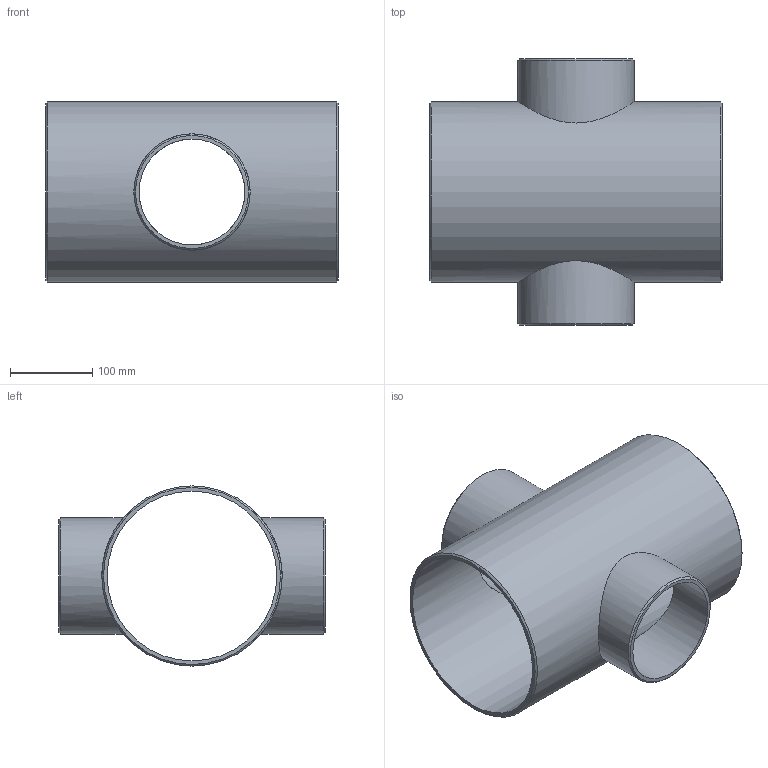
import cadquery as cq

run_length = 355.6
run_diameter = 219.075
run_wall = 6.35

branch_span = 324.1
branch_diameter = 141.3
branch_wall = 6.35

bevel = 2.0

run_plane = "XZ"
branch_plane = "YZ"


def revolve_about_pipe_axis(profile):
    """Revolve a half profile a full turn about the local x axis of its plane."""
    return profile.close().revolve(360, (0, 0, 0), (1, 0, 0))


def pipe_body(plane, length, diameter):
    """Solid cylinder centred on the origin, with both outer end rims bevelled."""
    half_length = length / 2
    radius = diameter / 2
    profile = (
        cq.Workplane(plane)
        .moveTo(-half_length, 0)
        .lineTo(-half_length, radius - bevel)
        .lineTo(-half_length + bevel, radius)
        .lineTo(half_length - bevel, radius)
        .lineTo(half_length, radius - bevel)
        .lineTo(half_length, 0)
    )
    return revolve_about_pipe_axis(profile)


def pipe_bore(plane, length, diameter, wall):
    """Cylinder filling the inside of a pipe from end to end."""
    half_length = length / 2
    radius = diameter / 2 - wall
    profile = (
        cq.Workplane(plane)
        .moveTo(-half_length, 0)
        .lineTo(-half_length, radius)
        .lineTo(half_length, radius)
        .lineTo(half_length, 0)
    )
    return revolve_about_pipe_axis(profile)


run_body = pipe_body(run_plane, run_length, run_diameter)
branch_body = pipe_body(branch_plane, branch_span, branch_diameter)
run_bore = pipe_bore(run_plane, run_length, run_diameter, run_wall)
branch_bore = pipe_bore(branch_plane, branch_span, branch_diameter, branch_wall)

result = run_body.union(branch_body).cut(run_bore).cut(branch_bore)